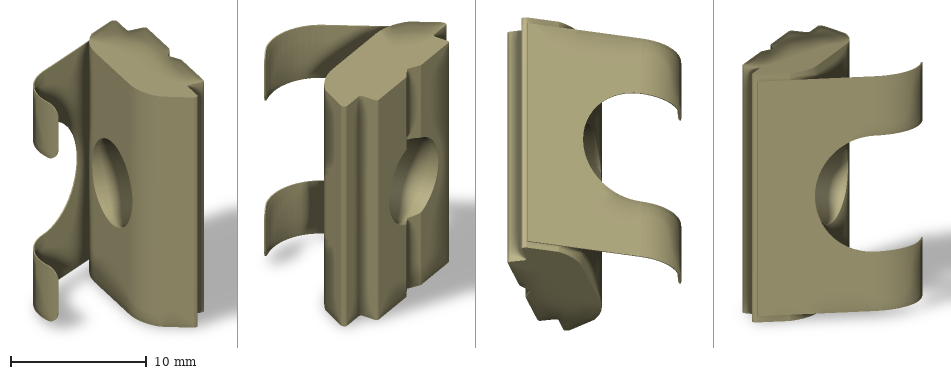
import cadquery as cq
import math

length = 19.0
half_width = 7.0
neck_half_width = 4.98
top_y = 5.2
shoulder_y = 3.7
flank_top_y = 3.3
flank_bottom_x = 5.74
flat_half_width = 2.93
belly_radius = 4.05
edge_radius = 0.2
groove_half_width = 1.0
hole_diameter = 6.78

slope = math.radians(60)
flank_bottom_y = flank_top_y - (half_width - flank_bottom_x) * math.tan(slope)
groove_depth = groove_half_width / math.tan(slope)

leaf_thickness = 0.1
leaf_length = 18.0
leaf_setback = 0.08
leaf_low_y = -6.48
curl_radius = 4.18
tip_angle = math.radians(30)
notch_radius = 4.46
tip_corner_radius = 0.99


def make_body():
    right_half = [
        (groove_half_width, top_y),
        (neck_half_width, top_y),
        (neck_half_width, shoulder_y),
        (half_width, shoulder_y),
        (half_width, flank_top_y),
        (flank_bottom_x, flank_bottom_y),
    ]
    left_half = [(-x, y) for x, y in reversed(right_half)]
    body = (
        cq.Workplane("XY")
        .workplane(offset=-length / 2)
        .moveTo(0, top_y - groove_depth)
        .polyline(right_half, includeCurrent=True)
        .radiusArc((flat_half_width, 0), belly_radius)
        .lineTo(-flat_half_width, 0)
        .radiusArc((-flank_bottom_x, flank_bottom_y), belly_radius)
        .polyline(left_half)
        .close()
        .extrude(length)
    )
    rounded_corners = (
        (neck_half_width, top_y),
        (neck_half_width, shoulder_y),
        (half_width, shoulder_y),
        (half_width, flank_top_y),
    )
    for side in (-1, 1):
        for x, y in rounded_corners:
            corner = cq.selectors.NearestToPointSelector((side * x, y, 0))
            body = body.edges("|Z").edges(corner).fillet(edge_radius)
    hole = cq.Workplane("XZ").circle(hole_diameter / 2).extrude(top_y, both=True)
    return body.cut(hole)


def make_leaf():
    along = (math.cos(slope), -math.sin(slope))
    outward = (-math.sin(slope), -math.cos(slope))

    inner_start = (-half_width + leaf_setback * along[0], flank_top_y + leaf_setback * along[1])
    outer_start = tuple(p + leaf_thickness * n for p, n in zip(inner_start, outward))

    axis_y = leaf_low_y + curl_radius
    tangent_y = axis_y + curl_radius * outward[1]
    tangent_x = outer_start[0] + (outer_start[1] - tangent_y) / math.tan(slope)
    axis_x = tangent_x - curl_radius * outward[0]

    def curl_points(radius):
        start = (axis_x + radius * outward[0], axis_y + radius * outward[1])
        low = (axis_x, axis_y - radius)
        tip = (axis_x + radius * math.sin(tip_angle), axis_y - radius * math.cos(tip_angle))
        return start, low, tip

    outer_bend, outer_low, outer_tip = curl_points(curl_radius)
    inner_bend, inner_low, inner_tip = curl_points(curl_radius - leaf_thickness)
    leaf = (
        cq.Workplane("XY")
        .workplane(offset=-leaf_length / 2)
        .moveTo(*inner_start)
        .lineTo(*outer_start)
        .lineTo(*outer_bend)
        .threePointArc(outer_low, outer_tip)
        .lineTo(*inner_tip)
        .threePointArc(inner_low, inner_bend)
        .close()
        .extrude(leaf_length)
    )

    bend_plane = cq.Plane(
        origin=(*outer_bend, 0),
        xDir=(*along, 0),
        normal=(*outward, 0),
    )
    round_end = cq.Workplane(bend_plane).circle(notch_radius).extrude(notch_radius, both=True)
    finger_gap = (
        cq.Workplane(bend_plane)
        .center(curl_radius, 0)
        .rect(2 * curl_radius, 2 * notch_radius)
        .extrude(2 * curl_radius, both=True)
    )
    leaf = leaf.cut(round_end).cut(finger_gap)

    tip_plane = cq.Plane(
        origin=(*outer_tip, 0),
        xDir=(math.cos(tip_angle), math.sin(tip_angle), 0),
        normal=(math.sin(tip_angle), -math.cos(tip_angle), 0),
    )
    r = tip_corner_radius
    for side in (-1, 1):
        for corner_z, inward in ((leaf_length / 2, -side), (notch_radius, side)):
            z = side * corner_z
            waste = (
                cq.Workplane(tip_plane)
                .moveTo(-r, z)
                .threePointArc(
                    (-r + r * math.sin(math.pi / 4), z + inward * r * (1 - math.cos(math.pi / 4))),
                    (0, z + inward * r),
                )
                .lineTo(r, z + inward * r)
                .lineTo(r, z - inward * r)
                .lineTo(-r, z - inward * r)
                .close()
                .extrude(r, both=True)
            )
            leaf = leaf.cut(waste)
    return leaf


result = make_body().union(make_leaf())